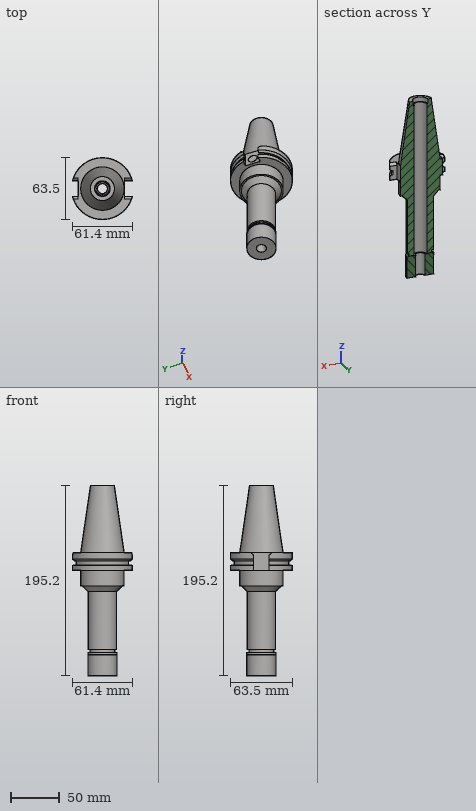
import cadquery as cq
import math

total_height = 195.2
nut_height = 24.0
nut_groove_top = 22.0
nut_groove_bottom = 21.5
neck_top = 27.0
shank_top = 86.3
collar_bottom = 92.2
flange_bottom = 108.0
flange_top = 126.3
taper_bottom = 127.0

shank_radius = 14.6
nut_radius = 15.0
nut_groove_radius = 14.8
neck_radius = 12.9
collar_radius = 22.3
flange_radius = 31.73
groove_radius = 28.1
gauge_radius = 22.3
taper_ratio = 7 / 24
taper_length = total_height - taper_bottom
taper_top_radius = gauge_radius - taper_length * taper_ratio / 2

groove_bottom = 113.8
groove_top = 118.0
groove_bevel_radius = 29.7
groove_lower_bevel = 1.0
groove_upper_bevel = 1.8

slot_width = 16.0
slot_chamfer = 2.7
left_slot_floor = -25.0
right_slot_floor = 22.6
dimple_radius = 4.9
dimple_depth = 0.2
dimple_height = 116.0

bore_mouth_radius = 8.0
bore_mouth_depth = 5.0
bore_radius = 6.8
nut_bore_radius = 5.0


def cylinder(radius, bottom, top):
    return cq.Workplane("XY").workplane(offset=bottom).circle(radius).extrude(top - bottom)


def revolved(outline):
    """Turn a closed (radius, height) outline around the Z axis."""
    return cq.Workplane("XZ").polyline(outline).close().revolve(360, (0, 0, 0), (0, 1, 0))


def holder_blank():
    """Neck, shank, conical shoulder, collar, flange core and taper."""
    shoulder_radius = shank_radius + collar_bottom - shank_top
    return revolved([
        (0, nut_height),
        (neck_radius, nut_height),
        (neck_radius, neck_top),
        (shank_radius, neck_top),
        (shank_radius, shank_top),
        (shoulder_radius, collar_bottom),
        (collar_radius, collar_bottom),
        (collar_radius, flange_bottom),
        (flange_radius, flange_bottom),
        (flange_radius, flange_top),
        (collar_radius, flange_top),
        (gauge_radius, taper_bottom),
        (taper_top_radius, total_height),
        (0, total_height),
    ])


def flange_groove():
    """Ring with flat walls near its floor and sloped walls at its mouth."""
    return revolved([
        (groove_radius, groove_bottom),
        (groove_bevel_radius, groove_bottom),
        (flange_radius, groove_bottom - groove_lower_bevel),
        (flange_radius, groove_top + groove_upper_bevel),
        (groove_bevel_radius, groove_top),
        (groove_radius, groove_top),
    ])


def drive_slot(floor_x):
    """Slot with chamfered top edges, running outwards from its flat floor."""
    half_width = slot_width / 2
    half_mouth = half_width + slot_chamfer
    outward = math.copysign(flange_radius, floor_x)
    return (
        cq.Workplane("YZ", origin=(floor_x, 0, 0))
        .polyline([
            (-half_width, flange_bottom),
            (half_width, flange_bottom),
            (half_width, flange_top - slot_chamfer),
            (half_mouth, flange_top),
            (-half_mouth, flange_top),
            (-half_width, flange_top - slot_chamfer),
        ])
        .close()
        .extrude(outward)
    )


def slot_dimple():
    """Shallow round recess in the floor of the -X slot."""
    return (
        cq.Workplane("YZ", origin=(left_slot_floor, 0, 0))
        .center(0, dimple_height)
        .circle(dimple_radius)
        .extrude(dimple_depth)
    )


def make_holder():
    holder = holder_blank().cut(flange_groove())
    for floor_x in (left_slot_floor, right_slot_floor):
        holder = holder.cut(drive_slot(floor_x))
    holder = holder.cut(slot_dimple())
    holder = holder.cut(cylinder(bore_radius, nut_height, total_height))
    return holder.cut(cylinder(bore_mouth_radius, total_height - bore_mouth_depth, total_height))


def make_nut():
    """Clamping nut below the neck, with a fine groove near its top."""
    return revolved([
        (nut_bore_radius, 0),
        (nut_radius, 0),
        (nut_radius, nut_groove_bottom),
        (nut_groove_radius, nut_groove_bottom),
        (nut_groove_radius, nut_groove_top),
        (nut_radius, nut_groove_top),
        (nut_radius, nut_height),
        (nut_bore_radius, nut_height),
    ])


holder = make_holder()
nut = make_nut()

result = cq.Compound.makeCompound([holder.val(), nut.val()])